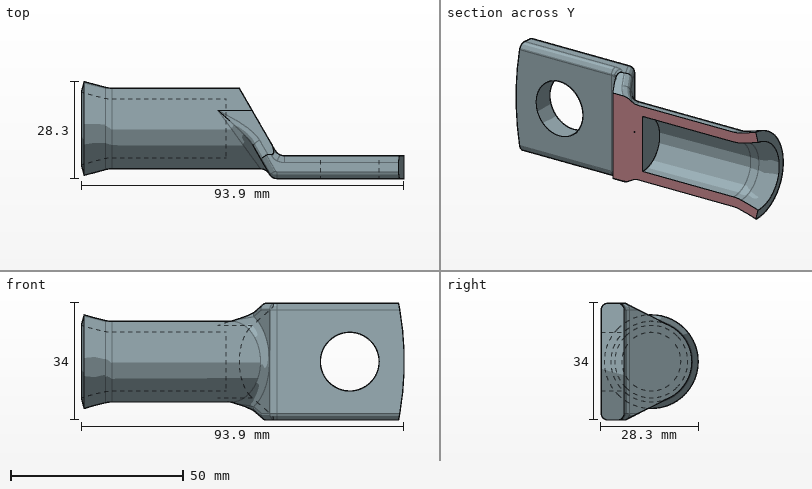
import cadquery as cq
import math

barrel_radius = 11.75
wall_thickness = 3.2
bore_depth = 42.0
flare_angle = math.radians(15.0)
flare_rim_radius = 13.65
flare_blend_radius = 7.2

overall_length = 93.86
overall_depth = 28.25
palm_width = 34.0
palm_thickness = 6.7
palm_end_radius = 88.0
palm_edge_radius = 2.0
bolt_hole_diameter = 17.0
bolt_hole_x = 78.0

web_angle = math.radians(60.0)
web_front_corner_x = 55.45
web_back_corner_x = 57.25
front_bend_radius = 2.5
back_bend_radius = 3.2
web_blend_radius = 3.0
shoulder_y = -7.6
web_tip_trim = 0.1
lug_start_x = 30.0

bore_radius = barrel_radius - wall_thickness
mouth_radius = flare_rim_radius - wall_thickness * math.cos(flare_angle)
palm_front_y = flare_rim_radius - overall_depth
palm_back_y = palm_front_y + palm_thickness
half_width = palm_width / 2
web_top_y = 1.3 * barrel_radius
web_front_top_x = web_front_corner_x - (web_top_y - palm_front_y) / math.tan(web_angle)
web_back_top_x = web_back_corner_x - (web_top_y - palm_back_y) / math.tan(web_angle)

shoulder_distance = math.hypot(shoulder_y, half_width)
tangent_angle = math.atan2(half_width, shoulder_y) - math.acos(barrel_radius / shoulder_distance)
tangent_y = barrel_radius * math.cos(tangent_angle)
tangent_z = barrel_radius * math.sin(tangent_angle)
tip_y = tangent_y - web_tip_trim
tip_z = tangent_z + web_tip_trim / math.tan(tangent_angle)


def edges_near(part, points):
    """Select the edge whose middle is closest to each of the given points."""
    edges = [part.edges(cq.selectors.NearestToPointSelector(point)).val() for point in points]
    return part.newObject(edges)


def mirrored(points):
    """Each point together with its mirror image across the XY plane."""
    return points + [(x, y, -z) for x, y, z in points]


def revolved_flare(mouth_points, straight_radius, blend_radius, end_x):
    """Revolve a mouth, a cone from the last mouth point, an arc blend and a cylinder."""
    rim_x, rim_radius = mouth_points[-1]
    corner_x = rim_x + (rim_radius - straight_radius) / math.tan(flare_angle)
    blend_length = blend_radius * math.tan(flare_angle / 2)
    cone_end_x = corner_x - blend_length * math.cos(flare_angle)
    cone_end_radius = straight_radius + blend_length * math.sin(flare_angle)
    return (
        cq.Workplane("XY")
        .polyline(mouth_points)
        .lineTo(cone_end_x, cone_end_radius)
        .tangentArcPoint((corner_x + blend_length, straight_radius), relative=False)
        .lineTo(end_x, straight_radius)
        .lineTo(end_x, 0)
        .close()
        .revolve(360, (0, 0, 0), (1, 0, 0))
    )


def make_bore():
    """Blind bore whose flared mouth keeps the wall thickness of the barrel."""
    mouth_points = [(0, 0), (0, mouth_radius)]
    return revolved_flare(mouth_points, bore_radius, flare_blend_radius + wall_thickness, bore_depth)


def make_barrel():
    """Solid flared barrel with a conical rim face, cut off along the back of the web."""
    rim_x = wall_thickness * math.sin(flare_angle)
    mouth_points = [(0, 0), (0, mouth_radius), (rim_x, flare_rim_radius)]
    barrel = revolved_flare(mouth_points, barrel_radius, flare_blend_radius, overall_length)
    keep = (
        cq.Workplane("XY")
        .moveTo(0, web_top_y)
        .lineTo(web_back_top_x, web_top_y)
        .lineTo(web_back_corner_x, palm_back_y)
        .lineTo(web_front_corner_x, palm_front_y)
        .lineTo(0, palm_front_y)
        .close()
        .extrude(half_width, both=True)
    )
    return barrel.intersect(keep)


def make_strap():
    """Palm and web as one full-width strap with rounded bends."""
    strap = (
        cq.Workplane("XY")
        .moveTo(overall_length, palm_front_y)
        .lineTo(web_front_corner_x, palm_front_y)
        .lineTo(web_front_top_x, web_top_y)
        .lineTo(web_back_top_x, web_top_y)
        .lineTo(web_back_corner_x, palm_back_y)
        .lineTo(overall_length, palm_back_y)
        .close()
        .extrude(half_width, both=True)
    )
    strap = edges_near(strap, [(web_front_corner_x, palm_front_y, 0)]).fillet(front_bend_radius)
    return edges_near(strap, [(web_back_corner_x, palm_back_y, 0)]).fillet(back_bend_radius)


def make_lug_outline():
    """Prism along X as wide as the palm, narrowing toward the barrel, with a round end."""
    prism = (
        cq.Workplane("YZ", origin=(lug_start_x, 0, 0))
        .moveTo(palm_front_y, -half_width)
        .lineTo(shoulder_y, -half_width)
        .lineTo(tip_y, -tip_z)
        .lineTo(tip_y, tip_z)
        .lineTo(shoulder_y, half_width)
        .lineTo(palm_front_y, half_width)
        .close()
        .extrude(overall_length - lug_start_x)
    )
    end_round = (
        cq.Workplane("XZ", origin=(overall_length - palm_end_radius, 0, 0))
        .circle(palm_end_radius)
        .extrude(overall_depth, both=True)
    )
    return prism.intersect(end_round)


def make_lug(barrel):
    """Strap blended onto the barrel, trimmed to its outline and rounded along its edges."""
    blend_center_x = web_front_corner_x + palm_front_y / math.tan(web_angle)
    body = barrel.union(make_strap())
    body = edges_near(body, [(blend_center_x, 0, 0)]).fillet(web_blend_radius)
    lug = body.intersect(make_lug_outline())

    web_side_y = (shoulder_y + tip_y) / 2
    web_side_z = (half_width + tip_z) / 2
    web_side_x = web_front_corner_x - (web_side_y - palm_front_y) / math.tan(web_angle)
    front_edges = [
        (bolt_hole_x, palm_front_y, half_width),
        (web_side_x, web_side_y, web_side_z),
    ]
    back_edges = [(bolt_hole_x, palm_back_y, half_width)]
    lug = edges_near(lug, mirrored(front_edges)).fillet(palm_edge_radius)
    return edges_near(lug, mirrored(back_edges)).fillet(palm_edge_radius)


def make_bolt_hole():
    """Round hole through the palm, along Y."""
    return (
        cq.Workplane("XZ")
        .center(bolt_hole_x, 0)
        .circle(bolt_hole_diameter / 2)
        .extrude(overall_depth, both=True)
    )


barrel = make_barrel()
solid_body = barrel.union(make_lug(barrel))
result = solid_body.cut(make_bore()).cut(make_bolt_hole())